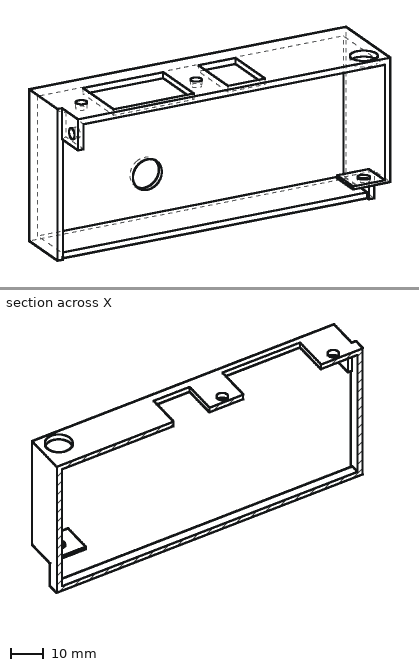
import cadquery as cq

width = 29.0
length = 110.0
height = 50.0
wall = 2.0

end_wall_width = 18.6
floor_width = 17.6

overhang_width = width - end_wall_width
overhang_bottom = 9.0

tab_setback = 1.5
tab_height = 10.2
tab_hole_diameter = 3.5
tab_hole_x = 25.0
tab_hole_drop = 6.2

flange_thickness = 1.0
flange_length = 13.0
mount_x = width - overhang_width / 2
mount_y = length - flange_length / 2
mount_hole_diameter = 4.0
access_hole_diameter = 8.6

window_left = 6.9
small_window_width = 19.2
small_window_y = 55.1
small_window_length = 12.9
large_window_width = 19.9
large_window_y = 15.1
large_window_length = 27.8
top_hole_diameter = 3.5
top_hole_x = 17.0
top_hole_ys = (9.1, 49.0)

side_hole_diameter = 10.0
side_hole_y = 40.0
side_hole_z = 15.1


def block(x, y, z, size_x, size_y, size_z):
    """Box with its lowest corner at (x, y, z)."""
    return cq.Workplane("XY").box(size_x, size_y, size_z, centered=False).translate((x, y, z))


def vertical_hole(x, y, z, diameter, depth):
    """Upright cylinder that starts at height z."""
    return cq.Workplane("XY").center(x, y).circle(diameter / 2).extrude(depth).translate((0, 0, z))


top_z = height - wall
side_wall = block(0, 0, 0, wall, length, height)
floor = block(0, 0, 0, floor_width, length, wall)
front_wall = block(0, 0, 0, end_wall_width, wall, height)
back_wall = block(0, length - wall, 0, end_wall_width, wall, height)
back_overhang = block(
    end_wall_width, length - wall, overhang_bottom, overhang_width, wall, height - overhang_bottom
)
top_plate = block(0, tab_setback, top_z, width, length - tab_setback, wall)
body = side_wall.union(floor).union(front_wall).union(back_wall).union(back_overhang).union(top_plate)

tab = block(floor_width, tab_setback, height - tab_height, width - floor_width, wall, tab_height)
tab_hole = (
    cq.Workplane("XZ", origin=(tab_hole_x, 0, height - tab_hole_drop))
    .circle(tab_hole_diameter / 2)
    .extrude(-(tab_setback + wall))
)
body = body.union(tab).cut(tab_hole)

flange = block(
    end_wall_width, length - flange_length, overhang_bottom, overhang_width, flange_length, flange_thickness
)
body = body.union(flange)
body = body.cut(vertical_hole(mount_x, mount_y, overhang_bottom, mount_hole_diameter, flange_thickness))
body = body.cut(vertical_hole(mount_x, mount_y, top_z, access_hole_diameter, wall))

body = body.cut(block(window_left, small_window_y, top_z, small_window_width, small_window_length, wall))
body = body.cut(block(window_left, large_window_y, top_z, large_window_width, large_window_length, wall))
for hole_y in top_hole_ys:
    body = body.cut(vertical_hole(top_hole_x, hole_y, top_z, top_hole_diameter, wall))

side_hole = (
    cq.Workplane("YZ", origin=(0, side_hole_y, side_hole_z)).circle(side_hole_diameter / 2).extrude(wall)
)
result = body.cut(side_hole)